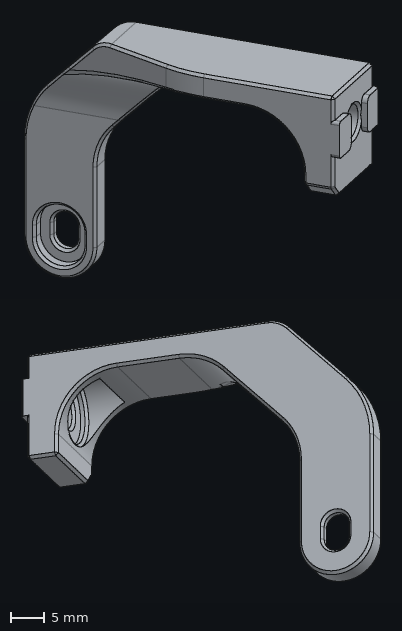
import cadquery as cq
import math

length = 57.1
depth = 15.0
height = 42.75
edge_chamfer = 0.45
sharp_angle = 25.0

leg_width = 12.0
leg_thickness = 4.0
leg_end_radius = leg_width / 2
outer_bend_radius = 13.9
inner_bend_radius = 10.0
outer_diagonal_offset = 27.7
inner_diagonal_offset = 11.4

bar_thickness = 4.0
bar_bottom = height - bar_thickness
shoulder_radius = 5.0
arch_radius = 9.6
foot_left = 51.1
foot_right = 56.15
foot_bottom = height - 17.0
foot_corner_chamfer = 1.95
foot_corner_bevel = 0.2

slant_angle = 19.0
slant_end_x = 31.2
slant_blend_radius = 20.55

joint_x = 29.4
joint_tolerance = 0.005
underside_start_x = bar_bottom - inner_diagonal_offset + inner_bend_radius * math.tan(math.pi / 8)

slot_travel = 2.0
slot_width = 4.05
slot_seat_width = 8.05
slot_seat_depth = 2.05
slot_center_z = leg_end_radius + slot_travel / 2

hole_diameter = 5.4
seat_diameter = 10.5
seat_depth = 1.15
hole_center_y = -depth / 2
hole_center_z = 35.8
seat_clearance = 6.0

tab_height = 6.05
tab_gap = 6.05
tab_inner_radius = 1.0
tab_front_radius = 0.5


def make_profile():
    """Side outline of the whole bracket, extruded over the full depth."""
    lower_inner_bend = (leg_width, leg_width + inner_diagonal_offset)
    upper_inner_bend = (bar_bottom - inner_diagonal_offset, bar_bottom)
    arch = (foot_left, bar_bottom)
    shoulder = (height - outer_diagonal_offset, height)
    outer_bend = (0, outer_diagonal_offset)
    solid = (
        cq.Workplane("XZ")
        .moveTo(leg_width, leg_end_radius)
        .lineTo(*lower_inner_bend)
        .lineTo(*upper_inner_bend)
        .lineTo(*arch)
        .lineTo(foot_left, foot_bottom)
        .lineTo(foot_right, foot_bottom)
        .lineTo(foot_right, height)
        .lineTo(*shoulder)
        .lineTo(*outer_bend)
        .lineTo(0, leg_end_radius)
        .threePointArc((leg_end_radius, 0), (leg_width, leg_end_radius))
        .close()
        .extrude(depth)
    )
    bends = (
        (lower_inner_bend, inner_bend_radius),
        (upper_inner_bend, inner_bend_radius),
        (arch, arch_radius),
        (shoulder, shoulder_radius),
        (outer_bend, outer_bend_radius),
    )
    for (x, z), radius in bends:
        solid = solid.edges("|Y").edges(cq.NearestToPointSelector((x, -depth / 2, z))).fillet(radius)
    foot_middle_x = (foot_left + foot_right) / 2
    foot_corner = cq.NearestToPointSelector((foot_middle_x, -depth, foot_bottom))
    solid = solid.edges(foot_corner).chamfer(foot_corner_chamfer)
    half = foot_corner_chamfer / 2
    corner_face = cq.NearestToPointSelector((foot_middle_x, half - depth, foot_bottom + half))
    return solid.faces(corner_face).edges("|X").chamfer(foot_corner_bevel)


def make_slant_cut():
    """Space in front of the slanted side and its blend arc."""
    angle = math.radians(slant_angle)
    tangent = slant_blend_radius * math.tan(angle / 2)
    blend_end_x = slant_end_x + tangent
    blend_start = (slant_end_x - tangent * math.cos(angle), -depth + tangent * math.sin(angle))
    blend_middle = (
        blend_end_x - slant_blend_radius * math.sin(angle / 2),
        -depth + slant_blend_radius * (1 - math.cos(angle / 2)),
    )
    return (
        cq.Workplane("XY")
        .moveTo(0, -depth + slant_end_x * math.tan(angle))
        .lineTo(*blend_start)
        .threePointArc(blend_middle, (blend_end_x, -depth))
        .lineTo(blend_end_x, -2 * depth)
        .lineTo(0, -2 * depth)
        .close()
        .extrude(height)
    )


def make_leg_cut():
    """Space in front of the leg, rounded where the leg rises into the bar."""
    radius = depth - leg_thickness
    start_z = bar_bottom - radius
    middle = radius * math.sqrt(0.5)
    return (
        cq.Workplane("YZ")
        .moveTo(-leg_thickness, 0)
        .lineTo(-leg_thickness, start_z)
        .threePointArc((middle - depth, start_z + middle), (-depth, bar_bottom))
        .lineTo(-2 * depth, bar_bottom)
        .lineTo(-2 * depth, 0)
        .close()
        .extrude(underside_start_x)
    )


def lies_in_joint(edge):
    """True for an edge that lies in the joint plane."""
    box = edge.BoundingBox()
    return max(abs(box.xmin - joint_x), abs(box.xmax - joint_x)) < joint_tolerance


def chamfer_sharp_edges(solid):
    """Chamfer every edge whose two faces meet at a sharp angle, except around the joint plane."""
    shape = solid.val()
    sharp_edges = []
    for edge in shape.Edges():
        if lies_in_joint(edge):
            continue
        middle = edge.positionAt(0.5)
        normals = [
            face.normalAt(middle)
            for face in shape.Faces()
            if any(edge.isSame(side) for side in face.Edges())
        ]
        if len(normals) == 2 and math.degrees(normals[0].getAngle(normals[1])) > sharp_angle:
            sharp_edges.append(edge)
    return cq.Workplane(shape.chamfer(edge_chamfer, None, sharp_edges))


def make_body():
    """Chamfered bracket without holes and tabs, joined from a leg piece and a foot piece."""
    outline = make_profile().cut(make_slant_cut())
    leg_side = cq.Workplane("XY", origin=(0, -depth, 0)).box(joint_x, depth, height, centered=False)
    leg_piece = chamfer_sharp_edges(outline.intersect(leg_side).cut(make_leg_cut()))
    foot_piece = chamfer_sharp_edges(outline.cut(leg_side)).cut(make_leg_cut())
    return leg_piece.union(foot_piece)


def make_slot_cut():
    """Slotted through hole with a wider seat at the front; all rims are chamfered."""

    def slot(width, y):
        plane = cq.Workplane("XZ", origin=(leg_end_radius, y, slot_center_z))
        return plane.slot2D(width + slot_travel, width, 90)

    seat_floor_y = slot_seat_depth - leg_thickness
    seat_rim = slot(slot_seat_width + 2 * edge_chamfer, -leg_thickness).extrude(-edge_chamfer, taper=45)
    seat = slot(slot_seat_width, seat_floor_y).extrude(slot_seat_depth)
    hole_rim = slot(slot_width + 2 * edge_chamfer, seat_floor_y).extrude(-edge_chamfer, taper=45)
    hole = slot(slot_width, 0).extrude(-seat_floor_y)
    back_rim = slot(slot_width + 2 * edge_chamfer, 0).extrude(edge_chamfer, taper=45)
    return seat.union(seat_rim).union(hole).union(hole_rim).union(back_rim)


def make_hole_cut():
    """Round through hole with a wider seat that also clears the curve of the arch."""

    def disc(diameter, x):
        return cq.Workplane("YZ", origin=(x, hole_center_y, hole_center_z)).circle(diameter / 2)

    seat_floor_x = foot_left + seat_depth
    seat_rim_diameter = seat_diameter + 2 * edge_chamfer
    hole_rim_diameter = hole_diameter + 2 * edge_chamfer
    clearance = disc(seat_rim_diameter, foot_left - seat_clearance).extrude(seat_clearance)
    seat_rim = disc(seat_rim_diameter, foot_left).extrude(edge_chamfer, taper=45)
    seat = disc(seat_diameter, foot_left).extrude(seat_depth)
    hole_rim = disc(hole_rim_diameter, seat_floor_x).extrude(edge_chamfer, taper=45)
    hole = disc(hole_diameter, seat_floor_x).extrude(foot_right - seat_floor_x)
    exit_rim = disc(hole_rim_diameter, foot_right).extrude(-edge_chamfer, taper=45)
    return clearance.union(seat_rim).union(seat).union(hole_rim).union(hole).union(exit_rim)


def make_tabs():
    """Two tabs, one on each side of the hole, with the corners at the gap rounded."""
    root_x = foot_right - edge_chamfer
    tab_width = (depth - tab_gap) / 2

    def block(start_y):
        plane = cq.Workplane("XY", origin=(root_x, start_y, hole_center_z))
        return plane.box(length - root_x, tab_width, tab_height, centered=(False, False, True))

    back_tab = block(-tab_width).edges("|X and <Y").fillet(tab_inner_radius)
    back_tab = back_tab.edges("|Z and >X and >Y").chamfer(edge_chamfer)
    front_tab = block(-depth).edges("|X and >Y").fillet(tab_inner_radius)
    front_tab = front_tab.edges("|X and <Y").fillet(tab_front_radius)
    return back_tab.union(front_tab)


result = make_body().cut(make_slot_cut()).cut(make_hole_cut()).union(make_tabs())